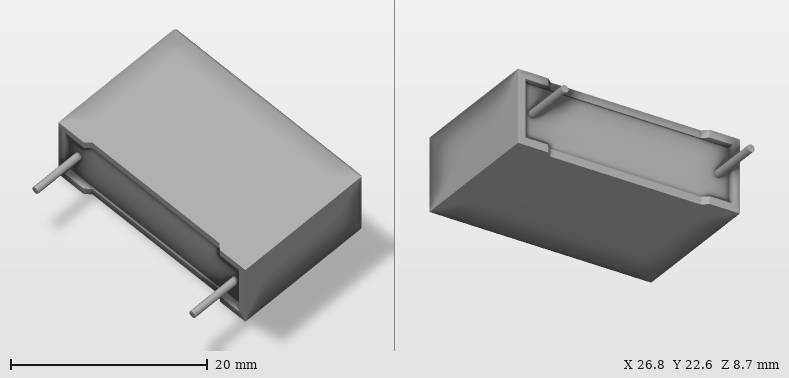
import cadquery as cq

housing_width = 26.8
housing_depth = 17.1
housing_height = 8.7
wall = 0.9
back_edge_radius = 0.5

notch_depth = 0.6
notch_mouth_inset = 3.65
notch_floor_inset = 4.31

potting_recess = 0.8

pin_diameter = 0.85
pin_spacing = 22.49
pin_protrusion = 5.5

cavity_width = housing_width - 2 * wall
cavity_height = housing_height - 2 * wall
cavity_floor_y = housing_depth - wall


def make_block(width, height, start_y, end_y):
    """Block centred on X and Z that runs from start_y to end_y."""
    depth = end_y - start_y
    return cq.Workplane("XY").box(width, depth, height).translate((0, (start_y + end_y) / 2, 0))


def make_notch():
    """Trapezoid cut through the full height, wider at the rim than at its floor."""
    mouth_x = housing_width / 2 - notch_mouth_inset
    floor_x = housing_width / 2 - notch_floor_inset
    return (
        cq.Workplane("XY")
        .workplane(offset=-housing_height / 2)
        .polyline([(-mouth_x, 0), (mouth_x, 0), (floor_x, notch_depth), (-floor_x, notch_depth)])
        .close()
        .extrude(housing_height)
    )


def make_housing():
    shell = make_block(housing_width, housing_height, 0, housing_depth)
    shell = shell.faces(">Y").edges().fillet(back_edge_radius)
    cavity = make_block(cavity_width, cavity_height, 0, cavity_floor_y)
    return shell.cut(cavity).cut(make_notch())


def make_potting():
    return make_block(cavity_width, cavity_height, potting_recess, cavity_floor_y)


def make_pin(x):
    """Pin along Y whose inner end rests on the face of the potting."""
    length = pin_protrusion + potting_recess
    pin = cq.Workplane("XZ").circle(pin_diameter / 2).extrude(length)
    return pin.translate((x, potting_recess, 0))


housing = make_housing()
potting = make_potting()
pins = [make_pin(side * pin_spacing / 2) for side in (-1, 1)]

result = cq.Compound.makeCompound([housing.val(), potting.val(), *[pin.val() for pin in pins]])